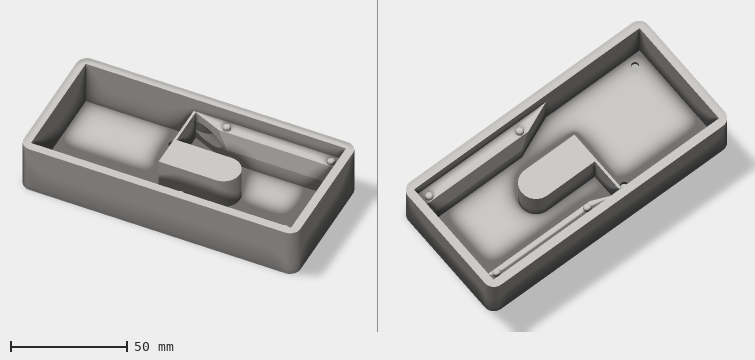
import cadquery as cq
import math

length = 132.0
width = 63.0
height = 24.0
wall = 4.0
floor = 2.0
corner_radius = 5.0
inner_x = length / 2 - wall
inner_y = width / 2 - wall

insert_height = 15.0
insert_top = floor + insert_height
rail_start_x = -10.5
taper_end_x = 9.4
rail_inner_y = 19.0
rail_chamfer_width = 2.2
rail_chamfer_height = 7.9

partition = 1.2
island_radius = 7.8
island_center_x = 16.8

pin_diameter = 3.5
pin_height = 2.0
pin_rounding = 1.0
pin_x_positions = (7.1, 57.0)
pin_y = 23.4

hole_diameter = 3.5
hole_positions = [(-56.0, -23.0), (-16.6, 19.0)]

hollow_half_length = 9.9
hollow_radius = 4.0
hollow_x = -2.9
hollow_z = 9.0
taper_slope = (rail_inner_y - inner_y) / (taper_end_x - rail_start_x)
hollow_y = rail_inner_y + taper_slope * (hollow_x - taper_end_x)


def make_tray():
    outer = cq.Workplane("XY").box(length, width, height, centered=(True, True, False))
    outer = outer.edges("|Z").fillet(corner_radius)
    cavity = (
        cq.Workplane("XY", origin=(0, 0, floor))
        .rect(2 * inner_x, 2 * inner_y)
        .extrude(height)
    )
    return outer.cut(cavity)


def make_rail():
    """Rail on the +Y wall; its upper inner edge is chamfered."""
    rail = (
        cq.Workplane("XY")
        .moveTo(rail_start_x, inner_y)
        .lineTo(taper_end_x, rail_inner_y)
        .lineTo(inner_x, rail_inner_y)
        .lineTo(inner_x, inner_y)
        .close()
        .extrude(insert_top)
    )
    chamfer = (
        cq.Workplane("YZ", origin=(rail_start_x, 0, 0))
        .moveTo(rail_inner_y, insert_top)
        .lineTo(rail_inner_y, insert_top - rail_chamfer_height)
        .lineTo(rail_inner_y + rail_chamfer_width, insert_top)
        .close()
        .extrude(inner_x - rail_start_x)
    )
    return rail.cut(chamfer)


def make_partition_and_island():
    partition_wall = (
        cq.Workplane("XY")
        .moveTo(rail_start_x, -island_radius)
        .lineTo(rail_start_x, inner_y)
        .lineTo(rail_start_x + partition, inner_y)
        .lineTo(rail_start_x + partition, -island_radius)
        .close()
        .extrude(insert_top)
    )
    island = (
        cq.Workplane("XY")
        .moveTo(rail_start_x, -island_radius)
        .lineTo(island_center_x, -island_radius)
        .threePointArc(
            (island_center_x + island_radius, 0),
            (island_center_x, island_radius),
        )
        .lineTo(rail_start_x, island_radius)
        .close()
        .extrude(insert_top)
    )
    return partition_wall.union(island)


def make_pins():
    """Four round-topped pins standing on the rails."""
    positions = [(x, y) for x in pin_x_positions for y in (-pin_y, pin_y)]
    return (
        cq.Workplane("XY", origin=(0, 0, insert_top))
        .pushPoints(positions)
        .circle(pin_diameter / 2)
        .extrude(pin_height)
        .faces(">Z")
        .edges()
        .fillet(pin_rounding)
    )


def make_hollow():
    """Ellipsoid of revolution whose long axis runs along the taper face."""
    return (
        cq.Workplane("XY")
        .ellipseArc(hollow_half_length, hollow_radius, 0, 180, startAtCurrent=False)
        .close()
        .revolve(360, (0, 0, 0), (1, 0, 0))
        .rotate((0, 0, 0), (0, 0, 1), math.degrees(math.atan(taper_slope)))
        .translate((hollow_x, hollow_y, hollow_z))
    )


floor_holes = (
    cq.Workplane("XY")
    .pushPoints(hole_positions)
    .circle(hole_diameter / 2)
    .extrude(floor)
)

plain_rail = make_rail()
result = (
    make_tray()
    .union(plain_rail.cut(make_hollow()))
    .union(plain_rail.mirror("XZ"))
    .union(make_partition_and_island())
    .union(make_pins())
    .cut(floor_holes)
)